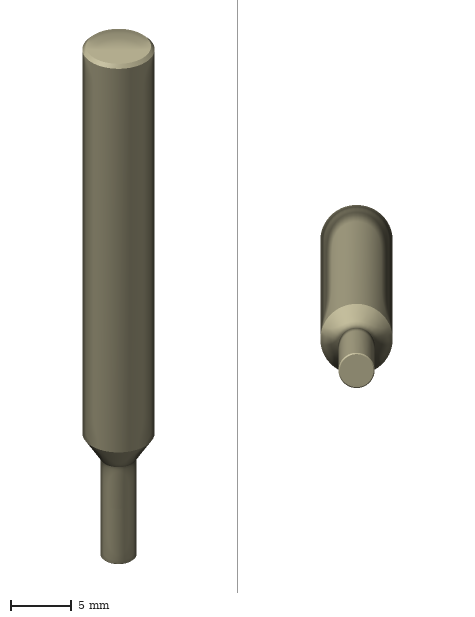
import cadquery as cq

total_length = 50.0
shank_diameter = 6.0
shank_chamfer = 0.3
tip_diameter = 3.0
tip_length = 5.5
tip_chamfer = 0.1
neck_diameter = tip_diameter
neck_length = 4.1
taper_length = 2.4

neck_top = tip_length + neck_length
taper_top = neck_top + taper_length


def make_shank():
    """Neck, taper and chamfered cylindrical shank, turned as one solid."""
    neck_radius = neck_diameter / 2
    shank_radius = shank_diameter / 2
    half_profile = (
        cq.Workplane("XZ")
        .moveTo(0, tip_length)
        .lineTo(neck_radius, tip_length)
        .lineTo(neck_radius, neck_top)
        .lineTo(shank_radius, taper_top)
        .lineTo(shank_radius, total_length)
        .lineTo(0, total_length)
        .close()
    )
    shank = half_profile.revolve(360, (0, 0, 0), (0, 1, 0))
    return shank.faces(">Z").edges().chamfer(shank_chamfer)


def make_tip():
    """Cylindrical working tip below the neck, with a small chamfer at its free end."""
    tip = cq.Workplane("XY").circle(tip_diameter / 2).extrude(tip_length)
    return tip.faces("<Z").edges().chamfer(tip_chamfer)


shank = make_shank()
tip = make_tip()

result = cq.Compound.makeCompound([shank.val(), tip.val()])